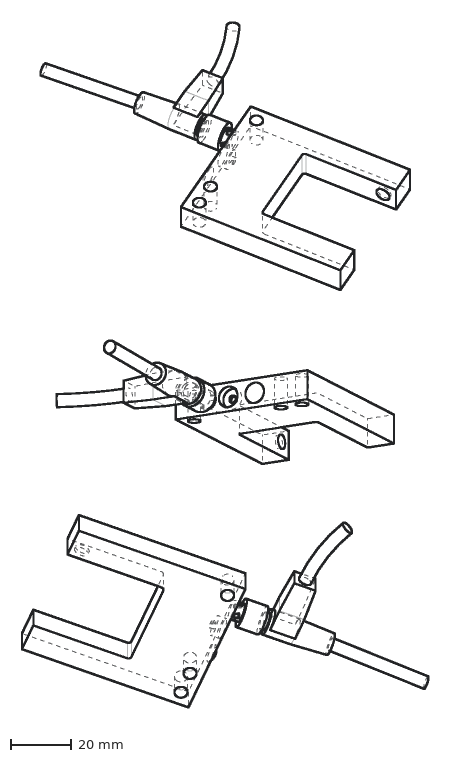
import cadquery as cq
import math


overall_length = 130.7

thickness = 10.0
housing_length = 60.0
housing_width = 50.0
housing_top = 12.0
housing_bottom = housing_top - housing_width
arm_width = thickness
slot_depth = 34.9
slot_corner_radius = 1.0
mount_hole_diameter = 4.3
mount_hole_inset = 4.6
mount_hole_pitch = 8.0

nose_diameter = 6.5
nose_length = 3.4
dimple_count = 4
dimple_diameter = 2.0
dimple_depth = 0.7
dimple_x = -nose_length / 2

recess_diameter = 7.0
recess_depth = 3.0
recess_y = -8.0
screw_hole_diameter = 2.5
screw_hole_depth = 1.3

dome_diameter = 7.0
dome_height = 1.6
dome_y = -18.0
lens_diameter = 5.0
lens_depth = 1.0
lens_inset = 5.0

nut_diameter = thickness
nut_length = 7.7
neck_diameter = 6.0
neck_length = 1.5
barrel_diameter = 9.0
barrel_length = 9.9
cone_length = 13.1
boot_end_size = 7.7
cable_diameter = 4.5
straight_cable_offset = -1.8

nut_end = -nose_length - nut_length
barrel_start = nut_end - neck_length
barrel_end = barrel_start - barrel_length
cone_end = barrel_end - cone_length
straight_cable_end = housing_length - overall_length

boot_size = barrel_diameter
boot_x = -18.3
boot_shoulder_y = 8.1
boot_end_y = 19.6
cable_bend_angle = 24.0
angled_cable_reach = 24.6


def cylinder_along_x(diameter, start_x, end_x, y=0):
    """Round bar parallel to X."""
    return cq.Workplane("YZ", origin=(start_x, y, 0)).circle(diameter / 2).extrude(end_x - start_x)


def round_loft(start_x, start_diameter, end_x, end_diameter, end_y=0):
    """Straight-sided loft between two circles that face along X."""
    return (
        cq.Workplane("YZ", origin=(start_x, 0, 0))
        .circle(start_diameter / 2)
        .workplane(offset=end_x - start_x)
        .center(end_y, 0)
        .circle(end_diameter / 2)
        .loft(ruled=True)
    )


def make_fork():
    block = cq.Workplane("XY").box(housing_length, housing_width, thickness, centered=(False, False, True))
    slot = (
        cq.Workplane("XY")
        .box(slot_depth, housing_width - 2 * arm_width, thickness, centered=(False, False, True))
        .translate((housing_length - slot_depth, arm_width, 0))
        .edges("|Z and <X")
        .fillet(slot_corner_radius)
    )
    return block.cut(slot).translate((0, housing_bottom, 0))


def make_mount_holes():
    lower_y = housing_bottom + mount_hole_inset
    places = [
        (mount_hole_inset, housing_top - mount_hole_inset),
        (mount_hole_inset, lower_y + mount_hole_pitch),
        (mount_hole_inset, lower_y),
    ]
    return (
        cq.Workplane("XY")
        .pushPoints(places)
        .circle(mount_hole_diameter / 2)
        .extrude(thickness, both=True)
    )


def make_nose():
    """Short round nose with dimples spaced evenly around it."""
    nose = cylinder_along_x(nose_diameter, 0, -nose_length)
    dimple = (
        cq.Workplane("XY", origin=(dimple_x, 0, nose_diameter / 2 - dimple_depth))
        .circle(dimple_diameter / 2)
        .extrude(nose_diameter)
    )
    for index in range(dimple_count):
        nose = nose.cut(dimple.rotate((0, 0, 0), (1, 0, 0), index * 360 / dimple_count))
    return nose


def make_adjuster_recess():
    recess = cylinder_along_x(recess_diameter, 0, recess_depth, recess_y)
    screw_hole = cylinder_along_x(
        screw_hole_diameter, recess_depth, recess_depth + screw_hole_depth, recess_y
    )
    return recess.union(screw_hole)


def make_lens():
    """Disc set flush into the inner face of the +Y arm."""
    return (
        cq.Workplane("XZ", origin=(housing_length - lens_inset, housing_top - arm_width, 0))
        .circle(lens_diameter / 2)
        .extrude(-lens_depth)
    )


def make_housing():
    return (
        make_fork()
        .cut(make_mount_holes())
        .cut(make_adjuster_recess())
        .cut(make_lens())
        .union(make_nose())
    )


def make_indicator():
    """Spherical cap standing on the connector face."""
    rim = dome_diameter / 2
    sphere_radius = (rim**2 + dome_height**2) / (2 * dome_height)
    sphere = cq.Workplane("XY").sphere(sphere_radius).rotate((0, 0, 0), (0, 1, 0), -90)
    sphere = sphere.translate((sphere_radius - dome_height, dome_y, 0))
    return sphere.intersect(cylinder_along_x(dome_diameter, 0, -dome_height, dome_y))


def make_plug_shell():
    """Barrel and cone of the straight plug."""
    barrel = cylinder_along_x(barrel_diameter, barrel_start, barrel_end)
    cone = round_loft(barrel_end, barrel_diameter, cone_end, boot_end_size)
    return barrel.union(cone)


def make_straight_plug():
    nut = cylinder_along_x(nut_diameter, -nose_length, nut_end)
    neck = cylinder_along_x(neck_diameter, nut_end, barrel_start)
    cable = round_loft(cone_end, cable_diameter, straight_cable_end, cable_diameter, straight_cable_offset)
    return nut.union(neck).union(make_plug_shell()).union(cable)


def make_angled_plug():
    """Square boot fitted around the plug shell, with a bent cable."""
    block = cq.Workplane("XZ", origin=(boot_x, 0, 0)).rect(boot_size, boot_size).extrude(-boot_shoulder_y)
    taper = (
        cq.Workplane("XZ", origin=(boot_x, boot_shoulder_y, 0))
        .rect(boot_size, boot_size)
        .workplane(offset=boot_shoulder_y - boot_end_y)
        .rect(boot_end_size, boot_end_size)
        .loft(ruled=True)
    )
    bend_radius = angled_cable_reach / math.sin(math.radians(cable_bend_angle))
    cable = (
        cq.Workplane("XZ", origin=(boot_x, boot_end_y, 0))
        .circle(cable_diameter / 2)
        .revolve(cable_bend_angle, (-bend_radius, 0), (-bend_radius, 1))
    )
    return block.cut(make_plug_shell()).union(taper).union(cable)


housing = make_housing()
lens = make_lens()
indicator = make_indicator()
straight_plug = make_straight_plug()
angled_plug = make_angled_plug()

result = cq.Compound.makeCompound(
    [
        housing.val(),
        lens.val(),
        indicator.val(),
        straight_plug.val(),
        angled_plug.val(),
    ]
)